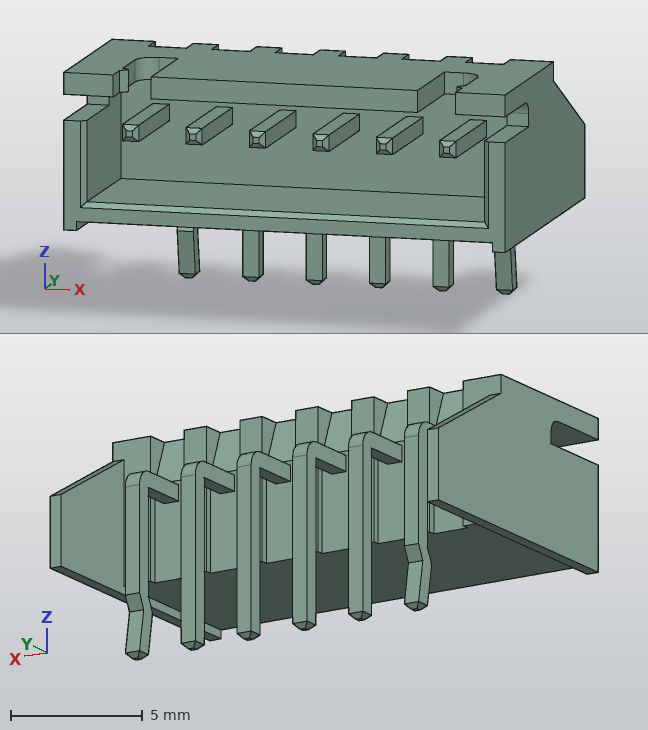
import cadquery as cq


pin_count = 6
pitch = 2.5
pin_size = 0.64
pin_tip_size = 0.24
pin_tip_length = 0.2
pin_front_y = 0.5
pin_row_depth = 2.35
pin_leg_y = 9.19
pin_bend_radius = 0.68
pin_leg_length = 3.4
kink_start_drop = 0.9
kink_peak_drop = 1.5
kink_offset = 0.3

end_margin = 2.45
width = pitch * (pin_count - 1) + 2 * end_margin
height = 6.1
foot_height = 0.35
housing_depth = 7.0

plate_thickness = 0.5
plate_depth = 11.5
wing_shoulder_drop = 0.75
wing_rear_drop = 3.25

top_wall = 0.85
end_wall = 0.86
floor_wall = 0.75
cavity_depth = 5.1
mouth_chamfer = 0.2

side_slot_depth = 3.4
side_slot_height = 1.0
side_slot_radius = 0.5
key_slot_edge = 1.95
key_slot_width = 1.5
key_slot_depth = 3.9
key_slot_radius = 0.75
key_bump_y = 1.18
key_bump_size = 0.28

notch_width = 1.5
notch_depth = 1.0
notch_ramp_height = 1.85
relief_depth = 0.3

half_width = width / 2
pin_z = height - pin_row_depth
cavity_top = height - top_wall
cavity_floor_z = foot_height + floor_wall
pin_positions = [(i - (pin_count - 1) / 2) * pitch for i in range(pin_count)]


def box(x0, x1, y0, y1, z0, z1):
    """Box between two opposite corners."""
    return cq.Workplane("XY").box(x1 - x0, y1 - y0, z1 - z0, centered=False).translate((x0, y0, z0))


def end_plate():
    """Left end plate with its foot and its sloping rear wing."""
    return (
        cq.Workplane("YZ", origin=(-half_width, 0, 0))
        .polyline([
            (0, 0),
            (plate_depth, 0),
            (plate_depth, height - wing_rear_drop),
            (housing_depth, height - wing_shoulder_drop),
            (housing_depth, height),
            (0, height),
        ])
        .close()
        .extrude(plate_thickness)
    )


def cavity():
    """Mating cavity with a chamfered mouth along its floor and both ends."""
    half_cavity = half_width - end_wall
    half_mouth = half_cavity + mouth_chamfer
    main = box(-half_cavity, half_cavity, 0, cavity_depth, cavity_floor_z, cavity_top)
    mouth_plan = [
        (-half_mouth, 0),
        (half_mouth, 0),
        (half_cavity, mouth_chamfer),
        (-half_cavity, mouth_chamfer),
    ]
    mouth_side = [
        (0, cavity_floor_z - mouth_chamfer),
        (mouth_chamfer, cavity_floor_z),
        (mouth_chamfer, cavity_top),
        (0, cavity_top),
    ]
    mouth = cq.Workplane("XY").polyline(mouth_plan).close().extrude(height)
    mouth_limit = cq.Workplane("YZ").polyline(mouth_side).close().extrude(half_width, both=True)
    return main.union(mouth.intersect(mouth_limit))


def side_slots():
    """Slot through both end walls just below the top wall, rounded at its upper inner corner."""
    slot = box(-half_width, half_width, 0, side_slot_depth, cavity_top - side_slot_height, cavity_top)
    return slot.edges(">Y and >Z").fillet(side_slot_radius)


def key_slot():
    """Left slot in the top wall: rounded outer corner and a pointed bump on its outer side."""
    outer_x = -half_width + key_slot_edge
    inner_x = outer_x + key_slot_width
    slot = box(outer_x, inner_x, 0, key_slot_depth, cavity_top, height)
    slot = slot.edges("<X and >Y").fillet(key_slot_radius)
    bump = (
        cq.Workplane("XY", origin=(outer_x, key_bump_y, cavity_top))
        .polyline([(0, -key_bump_size), (key_bump_size, 0), (0, key_bump_size)])
        .close()
        .extrude(top_wall)
    )
    return slot.cut(bump)


def rear_notch(x):
    """Notch in the rear face at a pin: a steep ramp from the top down to a shallow relief groove."""
    outline = [
        (housing_depth - notch_depth, height),
        (housing_depth - relief_depth, height - notch_ramp_height),
        (housing_depth - relief_depth, foot_height),
        (housing_depth, foot_height),
        (housing_depth, height),
    ]
    return cq.Workplane("YZ", origin=(x - notch_width / 2, 0, 0)).polyline(outline).close().extrude(notch_width)


def pin_tip(workplane):
    """Tapered pin end, rising from the origin of the given workplane."""
    return (
        workplane.rect(pin_size, pin_size)
        .workplane(offset=pin_tip_length)
        .rect(pin_tip_size, pin_tip_size)
        .loft()
    )


def pin(x, kinked):
    """Right-angle pin with a rounded outer bend; a kinked leg grips the board."""
    half = pin_size / 2
    front_y = pin_front_y + pin_tip_length
    leg_front = pin_leg_y - half
    leg_rear = pin_leg_y + half
    leg_end = -pin_leg_length + pin_tip_length
    outline = (
        cq.Workplane("YZ", origin=(x - half, 0, 0))
        .moveTo(front_y, pin_z - half)
        .lineTo(front_y, pin_z + half)
        .lineTo(leg_rear - pin_bend_radius, pin_z + half)
        .radiusArc((leg_rear, pin_z + half - pin_bend_radius), pin_bend_radius)
    )
    if kinked:
        outline = outline.lineTo(leg_rear, -kink_start_drop).lineTo(leg_rear - kink_offset, -kink_peak_drop)
    outline = outline.lineTo(leg_rear, leg_end).lineTo(leg_front, leg_end)
    if kinked:
        outline = outline.lineTo(leg_front - kink_offset, -kink_peak_drop).lineTo(leg_front, -kink_start_drop)
    body = outline.lineTo(leg_front, pin_z - half).close().extrude(pin_size)
    mating_tip = pin_tip(cq.Workplane("XZ", origin=(x, front_y, pin_z)))
    board_tip = pin_tip(cq.Workplane(cq.Plane((x, pin_leg_y, leg_end), (1, 0, 0), (0, 0, -1))))
    return body.union(mating_tip).union(board_tip)


left_plate = end_plate()
housing = box(-half_width, half_width, 0, housing_depth, foot_height, height)
housing = housing.union(left_plate).union(left_plate.mirror("YZ"))

left_key_slot = key_slot()
housing = housing.cut(cavity()).cut(side_slots())
housing = housing.cut(left_key_slot).cut(left_key_slot.mirror("YZ"))
for pin_x in pin_positions:
    housing = housing.cut(rear_notch(pin_x))

result = housing
for pin_x in pin_positions:
    is_outermost = pin_x in (pin_positions[0], pin_positions[-1])
    result = result.union(pin(pin_x, is_outermost))